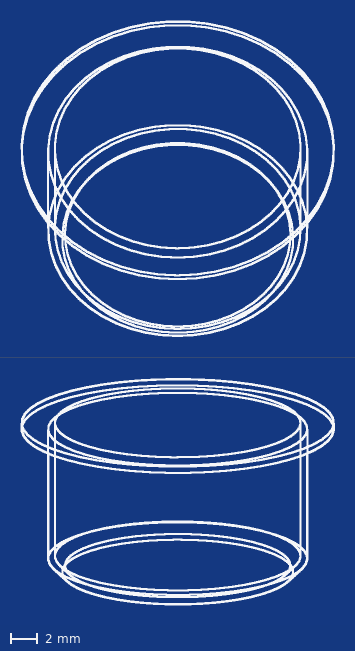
import cadquery as cq
import math

flange_diameter = 23.5
body_diameter = 19.5
bore_diameter = 18.5
height = 11.7
flange_thickness = 0.5
outer_chamfer = 1.05

wall = (body_diameter - bore_diameter) / 2
floor_thickness = wall
inner_chamfer = outer_chamfer - wall * (2 - math.sqrt(2))


def chamfered_plug(diameter, base_z, chamfer):
    """Cylinder from base_z up to the rim, chamfered around its lower edge."""
    plug = cq.Workplane("XY").workplane(offset=base_z).circle(diameter / 2).extrude(height - base_z)
    return plug.faces("<Z").chamfer(chamfer)


body = chamfered_plug(body_diameter, 0, outer_chamfer)
flange = (
    cq.Workplane("XY")
    .workplane(offset=height - flange_thickness)
    .circle(flange_diameter / 2)
    .extrude(flange_thickness)
)
cavity = chamfered_plug(bore_diameter, floor_thickness, inner_chamfer)

result = body.union(flange).cut(cavity)